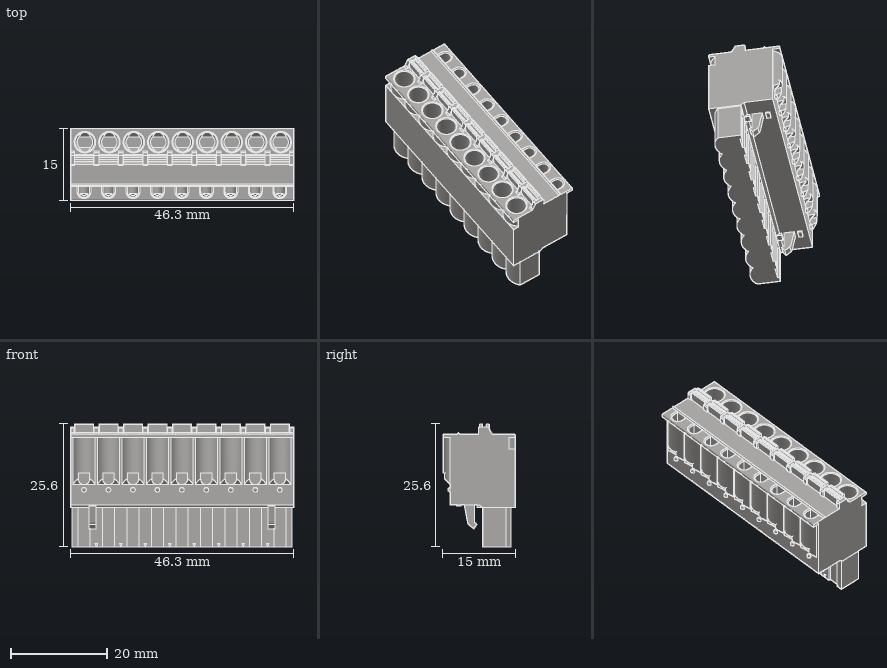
import cadquery as cq


POLES = 9
PITCH = 5.08
LENGTH = 46.34
DEPTH = 15.0
PLUG_HEIGHT = 8.22
LID_BOTTOM = 22.8
LID_TOP = 23.48
OVERALL_HEIGHT = 25.6
OVERLAP = 0.1

PLUG_LENGTH = POLES * PITCH
PLUG_START = 0.28
ROW_CENTER = PLUG_START + PLUG_LENGTH / 2

FRONT_WALL_Y = 1.5
FRONT_BOTTOM_Z = 8.8
STEP_START_Y = 8.2
STEP_END_Y = 7.5
LID_EDGE_RADIUS = 0.27
BEAD_Y = 3.2
BEAD_WIDTH = 0.5
BEAD_HEIGHT = 0.32

RECESS_BOTTOM_Z = 20.4
RECESS_Y = 13.7

TUBE_FIRST_X = 2.8
TUBE_RADIUS = 2.48
TUBE_BOTTOM_Z = 12.97
TEST_HOLE_RADIUS = 1.17
TEST_HOLE_Y = 1.89
TEST_HOLE_BACK_Y = 2.9
TEST_HOLE_CHAMFER = 0.27
WINDOW_TOP_Z = 15.4
DOT_Z = 11.93
DOT_RADIUS = 0.48

WIRE_FIRST_X = 2.98
WIRE_Y = 12.15
WIRE_MOUTH_RADIUS = 2.22
WIRE_RADIUS = 2.05
WIRE_FLOOR_RADIUS = 1.6
WIRE_FLOOR_HALF_WIDTH = 1.1
WIRE_CHAMFER = 0.2
WIRE_DEPTH = 8.0
FUNNEL_HEIGHT = WIRE_RADIUS - WIRE_FLOOR_HALF_WIDTH

POST_WIDTH = 1.0
POST_TOP_Z = 25.0
POST_FRONT_Y = 7.32
POST_CHAMFER_Y = 0.23
POST_CHAMFER_Z = 0.25
POST_BASE_BACK_Y = 10.35
POST_TOE_Y = 10.05
POST_TOE_HEIGHT = 0.25
POST_TOP_BACK_Y = 9.42
BLOCK_GAP = 0.07
BLOCK_FRONT_Y = 7.56
BLOCK_BACK_Y = 9.61
BLOCK_CHAMFER_Y = 0.26
BLOCK_CHAMFER_Z = 0.12
GROOVE_FRONT_Y = 8.17
GROOVE_BOTTOM_Y = 8.56
GROOVE_BACK_Y = 8.88
GROOVE_SHOULDER_Z = 24.95
GROOVE_BOTTOM_Z = 24.6
GROOVE_LIP_Y = 9.1
GROOVE_LIP_Z = 25.3

PLUG_FRONT_Y = 8.22
PLUG_BACK_Y = 14.14
PLUG_VALLEY_Y = 13.1
TOOTH_WIDTH = PITCH / 2
TOOTH_DEPTH = 0.4
MARK_WIDTH = 0.5
MARK_TOP_Z = 0.75
MARK_TIP_Z = 0.1
MARK_DEPTH = 0.1

LATCH_WIDTH = 1.55
LATCH_OFFSET = 18.58
LATCH_PROFILE = [
    (6.55, FRONT_BOTTOM_Z + OVERLAP),
    (6.55, 5.17),
    (6.8, 5.0),
    (7.04, 4.74),
    (6.38, 3.8),
    (5.3, 4.69),
    (5.1, 5.07),
    (4.37, FRONT_BOTTOM_Z + OVERLAP),
]
STOP_FRONT_Y = 7.05
PAD_FRONT_Y = 2.8
PAD_BACK_Y = 3.7
PAD_BOTTOM_Z = 8.53


def box(x0, x1, y0, y1, z0, z1):
    """Box given by its limits along each axis."""
    return cq.Workplane("XY").box(x1 - x0, y1 - y0, z1 - z0, centered=False).translate((x0, y0, z0))


def prism(yz_points, x0, x1):
    """Closed Y-Z outline extruded from x0 to x1."""
    return cq.Workplane("YZ").polyline(yz_points).close().extrude(x1 - x0).translate((x0, 0, 0))


def cylinder(x, y, radius, z0, z1):
    """Upright cylinder."""
    return cq.Workplane("XY").center(x, y).circle(radius).extrude(z1 - z0).translate((0, 0, z0))


def cone(x, y, bottom_radius, top_radius, z0, z1):
    """Upright truncated cone."""
    solid = cq.Solid.makeCone(bottom_radius, top_radius, z1 - z0, pnt=cq.Vector(x, y, z0))
    return cq.Workplane(obj=solid)


def barrel_row(front_y, valley_y, crest_y, z0, z1):
    """Wall with a flat front and one convex arc per pole along its back."""
    outline = cq.Workplane("XY").moveTo(PLUG_START, front_y).lineTo(PLUG_START, valley_y)
    for pole in range(POLES):
        x = PLUG_START + pole * PITCH
        outline = outline.threePointArc((x + PITCH / 2, crest_y), (x + PITCH, valley_y))
    outline = outline.lineTo(PLUG_START + PLUG_LENGTH, front_y).close()
    return outline.extrude(z1 - z0).translate((0, 0, z0))


def housing():
    body = prism(
        [
            (FRONT_WALL_Y, FRONT_BOTTOM_Z),
            (STEP_END_Y, FRONT_BOTTOM_Z),
            (STEP_START_Y, PLUG_HEIGHT),
            (DEPTH, PLUG_HEIGHT),
            (DEPTH, LID_BOTTOM),
            (FRONT_WALL_Y, LID_BOTTOM),
        ],
        0,
        LENGTH,
    )
    body = body.cut(box(0, LENGTH, RECESS_Y, DEPTH, RECESS_BOTTOM_Z, LID_BOTTOM))
    barrels = barrel_row(RECESS_Y - OVERLAP, RECESS_Y, DEPTH, RECESS_BOTTOM_Z, LID_BOTTOM)
    return body.union(barrels)


def lid():
    plate = box(0, LENGTH, 0, DEPTH, LID_BOTTOM, LID_TOP)
    plate = plate.faces(">Z").edges("|X").fillet(LID_EDGE_RADIUS)
    bead = prism(
        [
            (BEAD_Y - BEAD_WIDTH / 2, LID_TOP),
            (BEAD_Y + BEAD_WIDTH / 2, LID_TOP),
            (BEAD_Y, LID_TOP + BEAD_HEIGHT),
        ],
        0,
        LENGTH,
    )
    return plate.union(bead)


def tube(x):
    """Round front tube whose lower end slopes back to the wall at 45 degrees."""
    round_bar = cylinder(x, TUBE_RADIUS, TUBE_RADIUS, TUBE_BOTTOM_Z, LID_BOTTOM)
    inner_y = FRONT_WALL_Y + OVERLAP
    envelope = prism(
        [
            (0, TUBE_BOTTOM_Z + FRONT_WALL_Y),
            (FRONT_WALL_Y, TUBE_BOTTOM_Z),
            (inner_y, TUBE_BOTTOM_Z),
            (inner_y, LID_BOTTOM),
            (0, LID_BOTTOM),
        ],
        x - TUBE_RADIUS,
        x + TUBE_RADIUS,
    )
    return round_bar.intersect(envelope)


def test_opening(x):
    """D-shaped shaft from the lid down to a front window with a round floor."""
    radius = TEST_HOLE_RADIUS
    mouth_radius = radius + TEST_HOLE_CHAMFER
    floor_axis_z = TUBE_BOTTOM_Z + radius
    shaft = cylinder(x, TEST_HOLE_Y, radius, floor_axis_z, LID_TOP).union(
        box(x - radius, x + radius, TEST_HOLE_Y, TEST_HOLE_BACK_Y, floor_axis_z, LID_TOP)
    )
    mouth = cone(x, TEST_HOLE_Y, radius, mouth_radius, LID_TOP - TEST_HOLE_CHAMFER, LID_TOP)
    mouth_sides = (
        cq.Workplane("XZ")
        .polyline(
            [
                (x - radius, LID_TOP - TEST_HOLE_CHAMFER),
                (x + radius, LID_TOP - TEST_HOLE_CHAMFER),
                (x + mouth_radius, LID_TOP),
                (x - mouth_radius, LID_TOP),
            ]
        )
        .close()
        .extrude(TEST_HOLE_Y - TEST_HOLE_BACK_Y)
        .translate((0, TEST_HOLE_Y, 0))
    )
    front_limit = box(x - mouth_radius, x + mouth_radius, 0, TEST_HOLE_BACK_Y, 0, LID_TOP)
    window = (
        cq.Workplane("XZ")
        .moveTo(x - radius, WINDOW_TOP_Z)
        .lineTo(x - radius, floor_axis_z)
        .threePointArc((x, TUBE_BOTTOM_Z), (x + radius, floor_axis_z))
        .lineTo(x + radius, WINDOW_TOP_Z)
        .close()
        .extrude(-TEST_HOLE_BACK_Y)
    )
    return shaft.union(mouth).intersect(front_limit).union(mouth_sides).union(window)


def dot(x):
    """Round marker dot standing on the front wall."""
    return cq.Workplane("XY").sphere(DOT_RADIUS).translate((x, FRONT_WALL_Y, DOT_Z))


def wire_entry(x):
    """Round bore ending in a short funnel with two 45 degree flats."""
    floor_z = LID_TOP - WIRE_DEPTH
    funnel_top_z = floor_z + FUNNEL_HEIGHT
    chamfer_z = LID_TOP - WIRE_CHAMFER
    funnel = cone(x, WIRE_Y, WIRE_FLOOR_RADIUS, WIRE_RADIUS, floor_z, funnel_top_z)
    flats = prism(
        [
            (WIRE_Y - WIRE_FLOOR_HALF_WIDTH, floor_z),
            (WIRE_Y + WIRE_FLOOR_HALF_WIDTH, floor_z),
            (WIRE_Y + WIRE_RADIUS, funnel_top_z),
            (WIRE_Y - WIRE_RADIUS, funnel_top_z),
        ],
        x - WIRE_RADIUS,
        x + WIRE_RADIUS,
    )
    bore = cylinder(x, WIRE_Y, WIRE_RADIUS, funnel_top_z, chamfer_z)
    mouth = cone(x, WIRE_Y, WIRE_RADIUS, WIRE_MOUTH_RADIUS, chamfer_z, LID_TOP)
    return funnel.intersect(flats).union(bore).union(mouth)


def ridge_post(x):
    """Sloped post centred at x, trimmed to the length of the housing."""
    return prism(
        [
            (POST_FRONT_Y, LID_TOP - OVERLAP),
            (POST_BASE_BACK_Y, LID_TOP - OVERLAP),
            (POST_BASE_BACK_Y, LID_TOP),
            (POST_TOE_Y, LID_TOP + POST_TOE_HEIGHT),
            (POST_TOP_BACK_Y, POST_TOP_Z),
            (POST_FRONT_Y + POST_CHAMFER_Y, POST_TOP_Z),
            (POST_FRONT_Y, POST_TOP_Z - POST_CHAMFER_Z),
        ],
        max(0, x - POST_WIDTH / 2),
        min(LENGTH, x + POST_WIDTH / 2),
    )


def marker_block(x):
    """Block between two posts, with a V-bottomed groove along its top."""
    half_length = (PITCH - POST_WIDTH) / 2 - BLOCK_GAP
    shoulder_z = OVERALL_HEIGHT - BLOCK_CHAMFER_Z
    return prism(
        [
            (BLOCK_FRONT_Y, LID_TOP - OVERLAP),
            (BLOCK_BACK_Y, LID_TOP - OVERLAP),
            (BLOCK_BACK_Y, shoulder_z),
            (BLOCK_BACK_Y - BLOCK_CHAMFER_Y, OVERALL_HEIGHT),
            (GROOVE_LIP_Y, OVERALL_HEIGHT),
            (GROOVE_BACK_Y, GROOVE_LIP_Z),
            (GROOVE_BACK_Y, GROOVE_SHOULDER_Z),
            (GROOVE_BOTTOM_Y, GROOVE_BOTTOM_Z),
            (GROOVE_FRONT_Y, GROOVE_SHOULDER_Z),
            (GROOVE_FRONT_Y, OVERALL_HEIGHT),
            (BLOCK_FRONT_Y + BLOCK_CHAMFER_Y, OVERALL_HEIGHT),
            (BLOCK_FRONT_Y, shoulder_z),
        ],
        x - half_length,
        x + half_length,
    )


def plug_comb():
    """Plug with a barrel behind and a recess in front of each pole, and marked teeth between them."""
    plug = barrel_row(PLUG_FRONT_Y, PLUG_VALLEY_Y, PLUG_BACK_Y, 0, PLUG_HEIGHT + OVERLAP)
    for pole in range(POLES):
        x = PLUG_START + (pole + 0.5) * PITCH
        half_width = TOOTH_WIDTH / 2
        recess_back_y = PLUG_FRONT_Y + TOOTH_DEPTH
        plug = plug.cut(box(x - half_width, x + half_width, PLUG_FRONT_Y, recess_back_y, 0, PLUG_HEIGHT))
    for gap in range(1, POLES):
        x = PLUG_START + gap * PITCH
        mark = (
            cq.Workplane("XZ")
            .polyline(
                [(x - MARK_WIDTH / 2, MARK_TOP_Z), (x + MARK_WIDTH / 2, MARK_TOP_Z), (x, MARK_TIP_Z)]
            )
            .close()
            .extrude(-MARK_DEPTH)
            .translate((0, PLUG_FRONT_Y, 0))
        )
        plug = plug.cut(mark)
    return plug


def latch(x):
    """Hooked latch with a stop behind it and a small pad in front of it."""
    x0 = x - LATCH_WIDTH / 2
    x1 = x + LATCH_WIDTH / 2
    root_z = FRONT_BOTTOM_Z + OVERLAP
    hook = prism(LATCH_PROFILE, x0, x1)
    stop = box(x0, x1, STOP_FRONT_Y, STEP_START_Y, PLUG_HEIGHT, root_z)
    pad = box(x0, x1, PAD_FRONT_Y, PAD_BACK_Y, PAD_BOTTOM_Z, root_z)
    return [hook, stop, pad]


def fused(first, others):
    """One solid made of the first workplane and a list of touching ones."""
    return cq.Workplane(obj=first.val().fuse(*[other.val() for other in others]))


tube_places = [TUBE_FIRST_X + pole * PITCH for pole in range(POLES)]
wire_places = [WIRE_FIRST_X + pole * PITCH for pole in range(POLES)]
block_places = [PLUG_START + (pole + 0.5) * PITCH for pole in range(POLES)]
post_places = [PLUG_START + gap * PITCH for gap in range(POLES + 1)]
latch_places = [ROW_CENTER - LATCH_OFFSET, ROW_CENTER + LATCH_OFFSET]

tubes = [tube(x) for x in tube_places]
dots = [dot(x) for x in tube_places]
shell = fused(housing(), [lid(), *tubes, *dots])
openings = [test_opening(x) for x in tube_places] + [wire_entry(x) for x in wire_places]
shell = cq.Workplane(obj=shell.val().cut(*[opening.val() for opening in openings]))

blocks = [marker_block(x) for x in block_places]
posts = [ridge_post(x) for x in post_places]
latch_pieces = [piece for x in latch_places for piece in latch(x)]
result = fused(shell, [plug_comb(), *blocks, *posts, *latch_pieces]).clean()